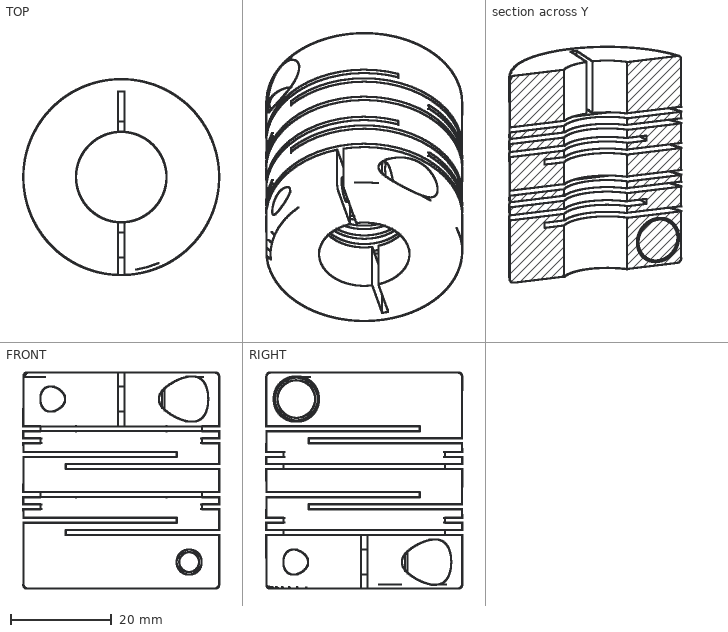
import cadquery as cq


length = 43.0
body_diameter = 39.0
body_radius = body_diameter / 2
bore_diameter = 17.97
rim_fillet = 0.85

slit_width = 0.95
slit_reach = 11.0
hub_length = 10.7
slit_pitch = 2.4
pair_pitch = 5.1
group_pitch = length - 2 * hub_length - pair_pitch - slit_pitch - slit_width

clamp_slot_width = 1.25
clamp_slot_reach = 17.03

screw_offset = 13.5
screw_inset = 5.3
shank_radius = 2.5
tip_chamfer = 0.5
tip_position = -11.2
head_radius = 4.25
head_chamfer = 0.5
head_end = 8.65
head_height = 5.0
head_seat = head_end - head_height
counterbore_radius = 4.5


def cylinder_along_x(radius, start, end):
    """Cylinder on the axis of the upper clamp screw, from X = start to X = end."""
    return (
        cq.Workplane("YZ", origin=(start, -screw_offset, length - screw_inset))
        .circle(radius)
        .extrude(end - start)
    )


def make_body():
    return (
        cq.Workplane("XY")
        .circle(body_radius)
        .extrude(length)
        .faces("<Z or >Z")
        .edges()
        .fillet(rim_fillet)
        .faces(">Z")
        .workplane()
        .hole(bore_diameter)
    )


def make_slit(top, opening_angle):
    """Saw cut open towards opening_angle (degrees from +X), with its upper face at Z = top."""
    return (
        cq.Workplane("XY", origin=(0, 0, top - slit_width))
        .rect(slit_reach + body_radius, body_diameter)
        .extrude(slit_width)
        .translate(((body_radius - slit_reach) / 2, 0, 0))
        .rotate((0, 0, 0), (0, 0, 1), opening_angle)
    )


def make_clamp_cutter():
    """Clamp slot, screw hole and counterbore of the upper hub, with the slot open towards -Y."""
    slot = (
        cq.Workplane("XY", origin=(0, (clamp_slot_reach - body_radius) / 2, length - hub_length))
        .rect(clamp_slot_width, clamp_slot_reach + body_radius)
        .extrude(hub_length)
    )
    hole = cylinder_along_x(shank_radius, -body_radius, head_seat)
    counterbore = cylinder_along_x(counterbore_radius, head_seat, body_radius)
    return slot.union(hole).union(counterbore)


def make_screw():
    """Clamp screw of the upper hub, with its head towards +X."""
    shank = cylinder_along_x(shank_radius, tip_position, head_seat).faces("<X").chamfer(tip_chamfer)
    head = cylinder_along_x(head_radius, head_seat, head_end).faces(">X").chamfer(head_chamfer)
    return shank.union(head)


def to_lower_hub(shape):
    """Mirror an upper-hub shape to the lower end and turn it so the clamp slot opens towards +X."""
    return shape.mirror("XY", (0, 0, length / 2)).rotate((0, 0, 0), (0, 0, 1), 90)


result = make_body()

for group_top in (length - hub_length, length - hub_length - group_pitch):
    for pair_top, first_angle, second_angle in (
        (group_top, -90, 90),
        (group_top - pair_pitch, 180, 0),
    ):
        result = result.cut(make_slit(pair_top, first_angle))
        result = result.cut(make_slit(pair_top - slit_pitch, second_angle))

clamp_cutter = make_clamp_cutter()
screw = make_screw()
result = result.cut(clamp_cutter).cut(to_lower_hub(clamp_cutter))
result = result.union(screw).union(to_lower_hub(screw))